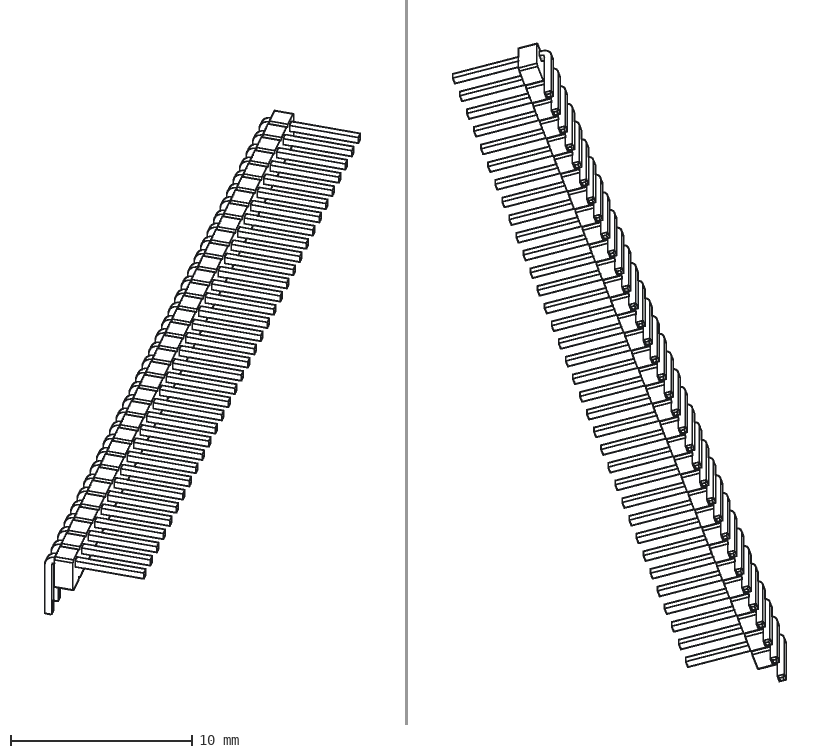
import cadquery as cq

pin_count = 34
pitch = 1.27

body_width = 1.07
body_height = 2.1
segment_bevel = pitch / 10

pin_size = 0.4
pin_top_drop = 0.3
inner_bend_radius = 0.2
outer_bend_radius = inner_bend_radius + pin_size
body_offset = 0.68
tail_chamfer = 0.1

overall_length = 5.7
overall_height = 4.35

row_length = pin_count * pitch

leg_x = -body_offset
tip_x = leg_x + overall_length
pin_top_z = -pin_top_drop
pin_bottom_z = pin_top_z - pin_size
inner_x = leg_x + pin_size
leg_bottom_z = -overall_height


def pin_position(index):
    """Y position of a pin, counted from the -Y end of the row."""
    return (index + 0.5) * pitch - row_length / 2


def make_segment(y):
    """One pitch of the body: a block with bevelled top and bottom ends."""
    half = pitch / 2
    flat_half = half - segment_bevel
    outline = [
        (y - flat_half, 0),
        (y + flat_half, 0),
        (y + half, -segment_bevel),
        (y + half, segment_bevel - body_height),
        (y + flat_half, -body_height),
        (y - flat_half, -body_height),
        (y - half, segment_bevel - body_height),
        (y - half, -segment_bevel),
    ]
    return cq.Workplane("YZ").polyline(outline).close().extrude(body_width)


def make_pin(y):
    """Bent square pin: a leg going down and an arm going through the body to +X."""
    outline = [
        (leg_x, leg_bottom_z),
        (leg_x, pin_top_z),
        (tip_x, pin_top_z),
        (tip_x, pin_bottom_z),
        (inner_x, pin_bottom_z),
        (inner_x, leg_bottom_z),
    ]
    pin = (
        cq.Workplane("XZ", origin=(0, y + pin_size / 2, 0))
        .polyline(outline)
        .close()
        .extrude(pin_size)
    )
    outer_corner = cq.NearestToPointSelector((leg_x, y, pin_top_z))
    pin = pin.edges("|Y").edges(outer_corner).fillet(outer_bend_radius)
    inner_corner = cq.NearestToPointSelector((inner_x, y, pin_bottom_z))
    pin = pin.edges("|Y").edges(inner_corner).fillet(inner_bend_radius)
    return pin.faces("<Z").chamfer(tail_chamfer)


positions = [pin_position(index) for index in range(pin_count)]
segments = [make_segment(y).val() for y in positions]
pins = [make_pin(y).val() for y in positions]

result = cq.Workplane(segments[0].fuse(*segments[1:], *pins).clean())